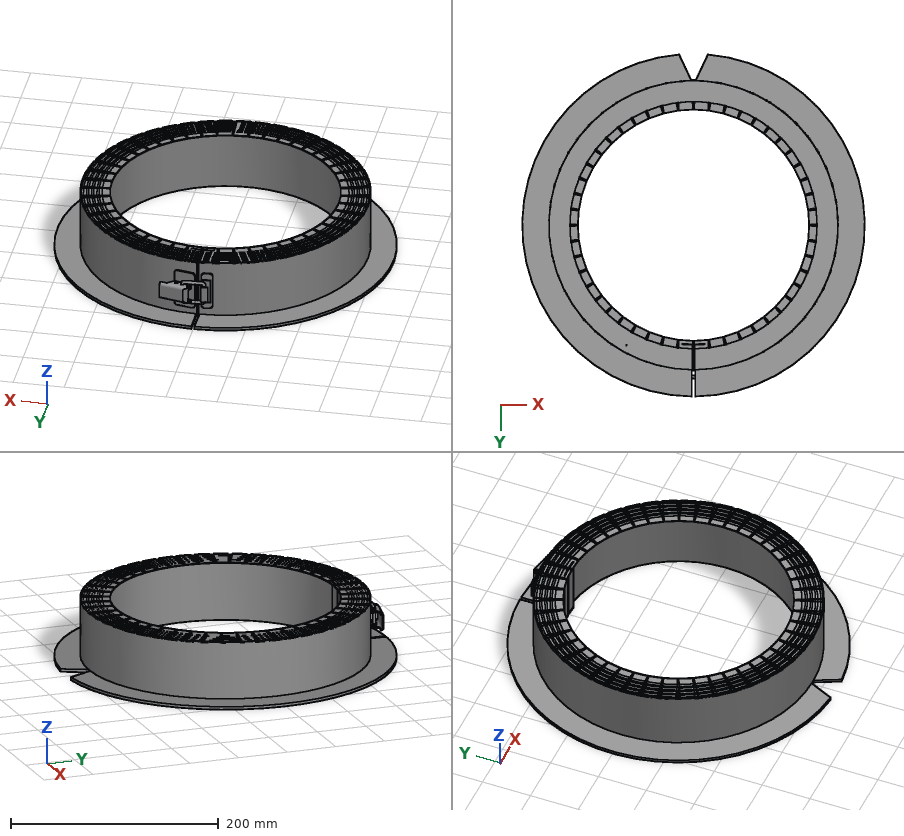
import cadquery as cq
import math

total_height = 60.8
flange_radius = 165.0
flange_thickness = 3.0
shell_radius = 140.0
sheet = 0.8
flange_gap = 3.0
end_gap = 0.5
end_bend_radius = 1.25

tab_count = 48
tab_width = 13.9
tab_reach_radius = 111.0

notch_inner_width = 4.6
notch_outer_width = 28.2

lip_radius = 114.5
lip_half_width = 11.0

liner_inner_radius = 119.0
liner_wrap_pitch = 5.0
liner_groove_width = 2.0
liner_groove_depth = 1.0

latch_height = 30.0
latch_angle = 11.5
catch_angle = 6.0

wire_diameter = 3.4
bail_leg_offset = 10.5
bail_pivot = (-15.9, 146.8)
bail_bar = (-36.4, 141.2)
bail_end_bend = 1.8
bail_bar_bend = 2.5

base_start = -26.5
base_end = -5.3
base_height = 38.0
base_thickness = 1.5
plate_corner_radius = 3.0
ear_start = -19.0

lever_width = 17.2
lever_sheet = 1.5
lever_top = 153.7
lever_edge_radius = 3.0
nose_center = (-23.2, 149.4)
nose_radius = 3.0
nose_hole_diameter = 3.2
lever_top_start = -19.2
lever_tip = 5.4
lever_tip_bottom = 150.6
lever_tip_skirt = 6.5
lever_heel = (-7.1, 144.0)
ear_radius = 2.4
pin_center = (-9.5, 146.6)
pin_diameter = 3.1
pin_head_projection = 0.6

catch_length = 11.0
pad_start = 2.0
pad_height = 24.4
pad_thickness = 1.0
hook_width = 16.0
hook_thickness = 1.5
hook_lip_length = 7.0
hook_bend = 1.4
hook_top = 149.4

wall_top = total_height - sheet
shell_inner_radius = shell_radius - sheet
pad_top = shell_radius + base_thickness + pad_thickness
lever_inner_width = lever_width - 2 * lever_sheet


def ring(outer, inner, bottom, top):
    return cq.Workplane("XY").workplane(offset=bottom).circle(outer).circle(inner).extrude(top - bottom)


def slab(x_start, x_end, y_start, y_end, bottom, top):
    return cq.Workplane("XY").box(
        x_end - x_start, y_end - y_start, top - bottom, centered=False
    ).translate((x_start, y_start, bottom))


def centered_extrusion(sketch, width):
    """Extrude an XY outline to a width centred on the latch height."""
    return sketch.extrude(width / 2, both=True).translate((0, 0, latch_height))


def upright_plate(x_start, x_end, y_start, y_end, height):
    """A block centred on the latch height."""
    bottom = latch_height - height / 2
    return slab(x_start, x_end, y_start, y_end, bottom, bottom + height)


def round_bar(center, diameter, length):
    """A round bar along Z, centred on the latch height."""
    return centered_extrusion(cq.Workplane("XY").center(*center).circle(diameter / 2), length)


def seat_at(body, angle):
    """Turn a body clockwise about the ring axis, from +Y toward +X."""
    return body.rotate((0, 0, 0), (0, 0, 1), -angle)


def split_slot(width):
    """A slot through the +Y side of the ring, below the tabs."""
    return slab(-width / 2, width / 2, 0, flange_radius, 0, wall_top)


def flange_notch():
    return (
        cq.Workplane("XY")
        .moveTo(-notch_inner_width / 2, -shell_radius)
        .lineTo(notch_inner_width / 2, -shell_radius)
        .lineTo(notch_outer_width / 2, -flange_radius)
        .lineTo(-notch_outer_width / 2, -flange_radius)
        .close()
        .extrude(flange_thickness)
    )


def tab_ring():
    """Straight-sided tabs whose spaces taper toward the ring axis."""
    pitch = 360 / tab_count
    tab = slab(-tab_width / 2, tab_width / 2, tab_reach_radius, shell_radius, wall_top, total_height)
    disc = cq.Workplane("XY").workplane(offset=wall_top).circle(shell_radius).extrude(sheet)
    tab = tab.intersect(disc).val()
    axis_start = cq.Vector(0, 0, 0)
    axis_end = cq.Vector(0, 0, 1)
    return [tab.rotate(axis_start, axis_end, (i + 0.5) * pitch) for i in range(tab_count)]


def folded_ends():
    """Radial end walls at the split, each turned along the ring as a lip."""
    end_band = ring(shell_radius, lip_radius, 0, wall_top)
    end_walls = split_slot(end_gap + 2 * sheet).intersect(end_band)
    lip_band = slab(-lip_half_width, lip_half_width, 0, shell_radius, 0, wall_top)
    lip = ring(lip_radius + sheet, lip_radius, 0, wall_top).intersect(lip_band)
    ends = end_walls.union(lip).cut(split_slot(end_gap))
    outer_corners = cq.selectors.BoxSelector(
        (-end_gap, lip_radius - sheet / 2, 0), (end_gap, lip_radius + sheet / 2, wall_top)
    )
    return ends.edges("|Z").edges(outer_corners).fillet(end_bend_radius)


shell = ring(shell_radius, shell_inner_radius, 0, wall_top)
shell = shell.cut(split_slot(end_gap))
flange = ring(flange_radius, shell_radius, 0, flange_thickness)
flange = flange.cut(flange_notch()).cut(split_slot(flange_gap))
shell = shell.union(flange).union(folded_ends())
for tab in tab_ring():
    shell = shell.union(cq.Workplane(tab))

liner = ring(shell_inner_radius, liner_inner_radius, 0, wall_top)
wrap_count = int((shell_inner_radius - liner_inner_radius) // liner_wrap_pitch)
for wrap in range(1, wrap_count + 1):
    groove_outer = liner_inner_radius + wrap * liner_wrap_pitch
    groove_inner = groove_outer - liner_groove_width
    liner = liner.cut(ring(groove_outer, groove_inner, wall_top - liner_groove_depth, wall_top))
liner = liner.cut(split_slot(end_gap + 2 * sheet))


def make_catch():
    foot_top = shell_radius + base_thickness
    foot = upright_plate(0, catch_length, shell_radius, foot_top, base_height)
    foot = foot.edges("|Y").fillet(plate_corner_radius)
    pad = upright_plate(pad_start, catch_length, foot_top, pad_top, pad_height)
    hook_outline = (
        cq.Workplane("XY")
        .moveTo(catch_length, pad_top)
        .lineTo(catch_length, hook_top - hook_bend)
        .radiusArc((catch_length - hook_bend, hook_top), -hook_bend)
        .lineTo(catch_length - hook_lip_length, hook_top)
        .lineTo(catch_length - hook_lip_length, hook_top - hook_thickness)
        .lineTo(catch_length - hook_thickness, hook_top - hook_thickness)
        .lineTo(catch_length - hook_thickness, pad_top)
        .close()
    )
    hook = centered_extrusion(hook_outline, hook_width)
    return foot.union(pad).union(hook)


def make_base():
    plate_top = shell_radius + base_thickness
    plate = upright_plate(base_start, base_end, shell_radius, plate_top, base_height)
    plate = plate.edges("|Y").fillet(plate_corner_radius)
    pin_u, pin_r = pin_center
    ear_outline = (
        cq.Workplane("XY")
        .moveTo(ear_start, plate_top)
        .lineTo(pin_u - ear_radius, pin_r)
        .radiusArc((pin_u + ear_radius, pin_r), ear_radius)
        .lineTo(base_end, plate_top)
        .close()
    )
    ears = centered_extrusion(ear_outline, lever_inner_width)
    ear_gap = lever_inner_width - 2 * base_thickness
    ears = ears.cut(upright_plate(ear_start, base_end, plate_top, pin_r + ear_radius, ear_gap))
    return plate.union(ears).cut(round_bar(pin_center, pin_diameter, lever_width))


def lever_outline():
    nose_u, nose_r = nose_center
    return (
        cq.Workplane("XY")
        .moveTo(nose_u, nose_r + nose_radius)
        .lineTo(lever_top_start, lever_top)
        .lineTo(lever_tip, lever_top)
        .lineTo(lever_tip, lever_tip_bottom)
        .lineTo(lever_tip - lever_tip_skirt, lever_tip_bottom)
        .lineTo(*lever_heel)
        .lineTo(nose_u, nose_r - nose_radius)
        .radiusArc((nose_u, nose_r + nose_radius), nose_radius)
        .close()
    )


def make_lever():
    body = centered_extrusion(lever_outline(), lever_width)
    body = body.faces(">Y").edges("|X").fillet(lever_edge_radius)
    hollow_start = nose_center[0] - 2 * nose_radius
    hollow_top = lever_top - lever_sheet
    hollow = upright_plate(hollow_start, lever_tip, shell_radius, hollow_top, lever_inner_width)
    hollow = hollow.edges("|X and >Y").fillet(lever_edge_radius - lever_sheet)
    body = body.cut(hollow)
    body = body.cut(round_bar(nose_center, nose_hole_diameter, lever_width))
    body = body.cut(round_bar(bail_pivot, wire_diameter, lever_width))
    return body.cut(round_bar(pin_center, pin_diameter, lever_width))


def make_bail():
    du = bail_bar[0] - bail_pivot[0]
    dr = bail_bar[1] - bail_pivot[1]
    length = math.hypot(du, dr)
    plane = cq.Plane(origin=(*bail_pivot, latch_height), xDir=(du, dr, 0), normal=(dr, -du, 0))
    leg = bail_leg_offset
    end = lever_inner_width / 2
    near = bail_end_bend
    far = bail_bar_bend
    path = (
        cq.Workplane(plane)
        .moveTo(0, -end)
        .lineTo(0, near - leg)
        .radiusArc((near, -leg), -near)
        .lineTo(length - far, -leg)
        .radiusArc((length, far - leg), -far)
        .lineTo(length, leg - far)
        .radiusArc((length - far, leg), -far)
        .lineTo(near, leg)
        .radiusArc((0, leg - near), -near)
        .lineTo(0, end)
    )
    section = cq.Workplane("XY", origin=(*bail_pivot, latch_height - end)).circle(wire_diameter / 2)
    return section.sweep(path)


catch = seat_at(make_catch(), -catch_angle)
base = seat_at(make_base(), latch_angle)
lever = seat_at(make_lever(), latch_angle)
bail = seat_at(make_bail(), latch_angle)
pin = seat_at(round_bar(pin_center, pin_diameter, lever_width + 2 * pin_head_projection), latch_angle)

result = cq.Compound.makeCompound(
    [shell.val(), liner.val(), catch.val(), base.val(), lever.val(), bail.val(), pin.val()]
)